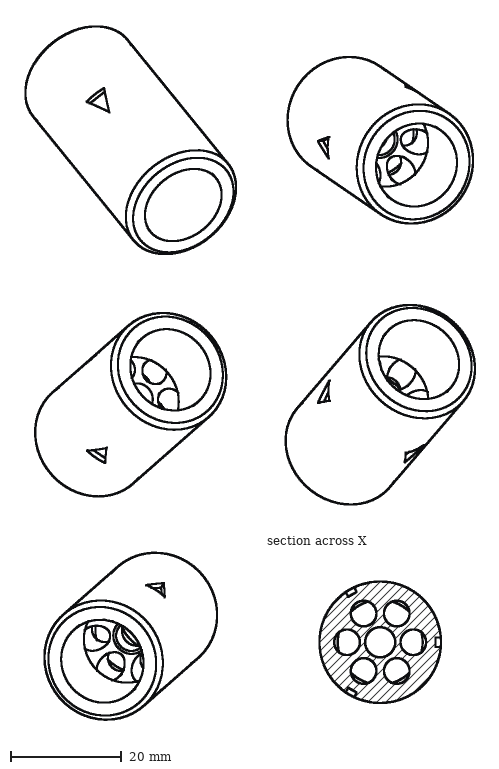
import cadquery as cq

length = 45.0
outer_diameter = 22.0
end_chamfer = 1.0
bore_diameter = 15.3

bore_depth = 18.0
centre_hole_diameter = 5.4
seat_diameter = 6.5
flow_hole_diameter = 4.6
flow_hole_circle_diameter = 11.95
flow_hole_count = 6

arrow_base_x = -3.5
arrow_length = 6.1
arrow_width = 3.95
arrow_depth = 1.0
arrow_angles = (0, 120, 240)

outer_radius = outer_diameter / 2
bore_radius = bore_diameter / 2
seat_radius = seat_diameter / 2
funnel_depth = bore_radius - seat_radius
left_end = -length / 2
right_end = length / 2
funnel_start = left_end + bore_depth
funnel_end = funnel_start + funnel_depth
web_back = right_end - bore_depth


def make_sleeve():
    """Chamfered cylinder along X."""
    cylinder = cq.Workplane("YZ", origin=(left_end, 0, 0)).circle(outer_radius).extrude(length)
    return cylinder.faces("<X or >X").chamfer(end_chamfer)


def make_funnel_bore():
    """Bore from the -X end, narrowing to the flat seat around the centre hole."""
    profile = [
        (left_end, 0),
        (left_end, bore_radius),
        (funnel_start, bore_radius),
        (funnel_end, seat_radius),
        (funnel_end, 0),
    ]
    return cq.Workplane("XY").polyline(profile).close().revolve(360, (0, 0, 0), (1, 0, 0))


def make_back_bore():
    """Plain bore from the +X end."""
    return cq.Workplane("YZ", origin=(web_back, 0, 0)).circle(bore_radius).extrude(bore_depth)


def make_web_holes():
    """Centre hole and the ring of flow holes through the web."""
    web_plane = cq.Workplane("YZ", origin=(funnel_start, 0, 0))
    web_thickness = web_back - funnel_start
    centre_hole = web_plane.circle(centre_hole_diameter / 2).extrude(web_thickness)
    flow_holes = (
        web_plane.polarArray(flow_hole_circle_diameter / 2, 0, 360, flow_hole_count)
        .circle(flow_hole_diameter / 2)
        .extrude(web_thickness)
    )
    return centre_hole.union(flow_holes)


def make_arrow(angle):
    """Flat-floored triangular recess, turned about X from the +Y side."""
    floor_radius = outer_radius - arrow_depth
    outline = [
        (arrow_base_x, -arrow_width / 2),
        (arrow_base_x, arrow_width / 2),
        (arrow_base_x + arrow_length, 0),
    ]
    floor_plane = cq.Plane(origin=(0, floor_radius, 0), xDir=(1, 0, 0), normal=(0, 1, 0))
    arrow = cq.Workplane(floor_plane).polyline(outline).close().extrude(2 * arrow_depth)
    return arrow.rotate((0, 0, 0), (1, 0, 0), angle)


result = make_sleeve().cut(make_funnel_bore()).cut(make_back_bore()).cut(make_web_holes())
for arrow_angle in arrow_angles:
    result = result.cut(make_arrow(arrow_angle))